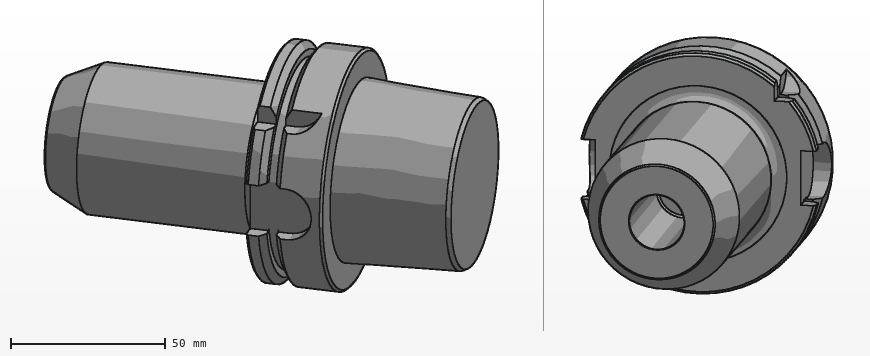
import cadquery as cq
import math

length = 140.0
nose_cone_end = 12.7
relief_start = 69.6
fillet_start = 71.1
flange_front = 73.9
flange_back = 100.0

nose_diameter = 38.4
nose_chamfer = 0.5
shank_diameter = 50.0
relief_diameter = 49.8
neck_fillet = 3.0
neck_recess_diameter = 58.5

flange_diameter = 80.0
flange_chamfer = 0.8
groove_floor_diameter = 69.9
groove_wall_diameter = 74.8
groove_center = 81.9
groove_floor_width = 3.2
groove_mouth_width = 7.3

taper_large_diameter = 60.8
taper_small_diameter = 57.0
taper_chamfer_length = 1.5
taper_chamfer_height = 0.8

bore_diameter = 18.0
bore_mouth_diameter = 18.5
bore_depth = 49.0
bore_bottom_chamfer = 0.7

slot_floor = 33.9
slot_end = 96.3
front_slot_width = 18.0
rear_slot_width = 19.9
rear_slot_corner = 8.8
notch_offset = 25.2
notch_radius = 9.1
notch_center_x = 87.1


def revolved_body():
    """Revolve the half profile about the X axis."""
    flange_radius = flange_diameter / 2
    wall_radius = groove_wall_diameter / 2
    groove_radius = groove_floor_diameter / 2
    mouth_half = groove_mouth_width / 2
    floor_half = groove_floor_width / 2
    relief_radius = relief_diameter / 2
    fillet_end = (fillet_start + neck_fillet, relief_radius + neck_fillet)
    fillet_mid = (
        fillet_start + neck_fillet * math.sin(math.pi / 4),
        relief_radius + neck_fillet * (1 - math.cos(math.pi / 4)),
    )
    profile = (
        cq.Workplane("XY")
        .moveTo(0, 0)
        .lineTo(0, nose_diameter / 2 - nose_chamfer)
        .lineTo(nose_chamfer, nose_diameter / 2)
        .lineTo(nose_cone_end, shank_diameter / 2)
        .lineTo(relief_start, shank_diameter / 2)
        .lineTo(relief_start, relief_radius)
        .lineTo(fillet_start, relief_radius)
        .threePointArc(fillet_mid, fillet_end)
        .lineTo(fillet_end[0], neck_recess_diameter / 2)
        .lineTo(flange_front, neck_recess_diameter / 2)
        .lineTo(flange_front, flange_radius - flange_chamfer)
        .lineTo(flange_front + flange_chamfer, flange_radius)
        .lineTo(groove_center - mouth_half, flange_radius)
        .lineTo(groove_center - floor_half, wall_radius)
        .lineTo(groove_center - floor_half, groove_radius)
        .lineTo(groove_center + floor_half, groove_radius)
        .lineTo(groove_center + floor_half, wall_radius)
        .lineTo(groove_center + mouth_half, flange_radius)
        .lineTo(flange_back - flange_chamfer, flange_radius)
        .lineTo(flange_back, flange_radius - flange_chamfer)
        .lineTo(flange_back, taper_large_diameter / 2)
        .lineTo(length - taper_chamfer_length, taper_small_diameter / 2)
        .lineTo(length, taper_small_diameter / 2 - taper_chamfer_height)
        .lineTo(length, 0)
        .close()
    )
    return profile.revolve(360, (0, 0, 0), (1, 0, 0))


def bore():
    """Blind bore with a slightly broken mouth edge and a chamfered bottom."""
    mouth_chamfer = (bore_mouth_diameter - bore_diameter) / 2
    return (
        cq.Workplane("XY")
        .lineTo(0, bore_mouth_diameter / 2)
        .lineTo(mouth_chamfer, bore_diameter / 2)
        .lineTo(bore_depth - bore_bottom_chamfer, bore_diameter / 2)
        .lineTo(bore_depth, bore_diameter / 2 - bore_bottom_chamfer)
        .lineTo(bore_depth, 0)
        .close()
        .revolve(360, (0, 0, 0), (1, 0, 0))
    )


def drive_slot(side, width, corner_radius):
    """Flat-floored slot, open at the flange front, with a rounded closed end."""
    depth = flange_diameter / 2 - slot_floor
    half_width = width / 2
    arc_start = slot_end - corner_radius
    flat_half = half_width - corner_radius
    bend = corner_radius * math.sin(math.pi / 4)
    outline = (
        cq.Workplane("XZ", origin=(0, side * slot_floor, 0))
        .moveTo(flange_front, -half_width)
        .lineTo(arc_start, -half_width)
    )
    if flat_half > 0:
        outline = (
            outline.threePointArc((arc_start + bend, -flat_half - bend), (slot_end, -flat_half))
            .lineTo(slot_end, flat_half)
            .threePointArc((arc_start + bend, flat_half + bend), (arc_start, half_width))
        )
    else:
        outline = outline.threePointArc((slot_end, 0), (arc_start, half_width))
    outline = outline.lineTo(flange_front, half_width).close()
    return outline.extrude(-side * depth)


def corner_notch():
    """Square corner notch whose floor sweeps up in an arc at its closed end."""
    arc_center_z = notch_offset + notch_radius
    arc_mid = (
        notch_center_x + notch_radius * math.sin(math.pi / 4),
        arc_center_z - notch_radius * math.cos(math.pi / 4),
    )
    return (
        cq.Workplane("XZ", origin=(0, -notch_offset, 0))
        .moveTo(flange_front, notch_offset)
        .lineTo(notch_center_x, notch_offset)
        .threePointArc(arc_mid, (notch_center_x + notch_radius, arc_center_z))
        .lineTo(flange_front, arc_center_z)
        .close()
        .extrude(flange_diameter / 2 - notch_offset)
    )


result = (
    revolved_body()
    .cut(bore())
    .cut(drive_slot(-1, front_slot_width, front_slot_width / 2))
    .cut(drive_slot(1, rear_slot_width, rear_slot_corner))
    .cut(corner_notch())
)